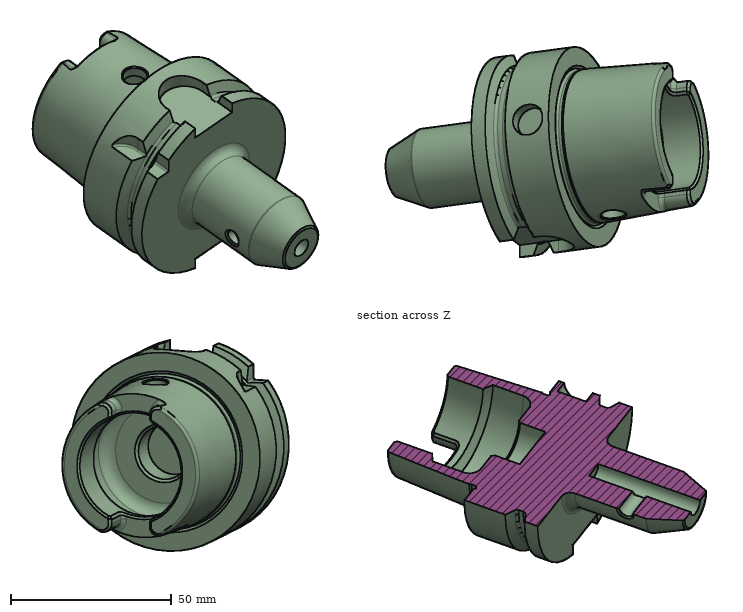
import cadquery as cq
import math

length = 97.0

taper_slope = 0.05
shank_end_diameter = 45.5
shank_end_radius = shank_end_diameter / 2
shank_edge_fillet = 1.0
taper_end = 30.0
neck_radius = 24.0
neck_start = 30.7
neck_bevel_start = 30.4
neck_bevel_radius = 24.1
neck_fillet = 0.8

flange_start = 32.0
flange_end = 58.0
flange_diameter = 63.0
flange_radius = flange_diameter / 2
face_recess_outer_radius = 25.6
face_recess_depth = 0.5

groove_start = 46.6
groove_end = 53.35
groove_floor_start = 49.2
groove_floor_end = 50.8
groove_floor_radius = 27.5
groove_fillet = 1.3
groove_fillet_sweep = 60.0

nose_radius = 12.5
nose_root_radius = 3.0
tip_cone_start = 86.1
tip_cone_fillet = 0.6
tip_radius = 7.9
tip_edge_length = 0.4
tip_edge_depth = 0.7

mouth_radius = 16.9
mouth_chamfer = 0.7
mouth_length = 13.0
cavity_radius = 20.0
cavity_shoulder_angle = 60.0
cavity_floor = 29.7
cavity_floor_fillet = 4.2
center_hole_radius = 8.4
center_hole_chamfer = 0.9
center_hole_depth = 9.7

slot_width = 12.5
slot_side_straight = 17.7
slot_side_radius = 2.9
slot_floor_fillet = 1.5
slot_mouth_bevel = 0.9
upper_slot_depth = 5.9
lower_slot_depth = 10.0

wall_hole_x = 23.0
wall_hole_diameter = 7.6
wall_hole_chamfer = 0.4

keyway_half_width = 8.05
keyway_start = 37.0
keyway_floor = 26.5

notch_corner = 19.7
notch_end_radius = 7.3
notch_fillet = 0.63

pocket_x = 39.0
pocket_diameter = 10.0
pocket_depth = 4.5

bore_diameter = 6.0
bore_depth = 35.9
screw_hole_x = 78.9
screw_hole_diameter = 4.85
screw_hole_chamfer = 0.6

tolerance = 0.01
pick_margin = 1.0


def groove_fillet_point(angle):
    """Run and rise from the groove floor after turning an angle along its side fillet."""
    turn = math.radians(angle)
    return groove_fillet * math.sin(turn), groove_fillet * (1 - math.cos(turn))


def holder_body():
    """Solid of revolution carrying every outside diameter."""
    taper_end_radius = shank_end_radius + taper_slope * taper_end
    recess_floor = flange_start + face_recess_depth
    half_run, half_rise = groove_fillet_point(groove_fillet_sweep / 2)
    full_run, full_rise = groove_fillet_point(groove_fillet_sweep)
    neck_mid = neck_fillet * (1 - math.sqrt(0.5))
    root_mid = nose_root_radius * (1 - math.sqrt(0.5))
    profile = (
        cq.Workplane("XY")
        .moveTo(0, 0)
        .lineTo(0, shank_end_radius)
        .lineTo(taper_end, taper_end_radius)
        .lineTo(neck_bevel_start, neck_bevel_radius)
        .lineTo(neck_start, neck_radius)
        .lineTo(recess_floor - neck_fillet, neck_radius)
        .threePointArc(
            (recess_floor - neck_mid, neck_radius + neck_mid),
            (recess_floor, neck_radius + neck_fillet),
        )
        .lineTo(flange_start, face_recess_outer_radius)
        .lineTo(flange_start, flange_radius)
        .lineTo(groove_start, flange_radius)
        .lineTo(groove_floor_start - full_run, groove_floor_radius + full_rise)
        .threePointArc(
            (groove_floor_start - half_run, groove_floor_radius + half_rise),
            (groove_floor_start, groove_floor_radius),
        )
        .lineTo(groove_floor_end, groove_floor_radius)
        .threePointArc(
            (groove_floor_end + half_run, groove_floor_radius + half_rise),
            (groove_floor_end + full_run, groove_floor_radius + full_rise),
        )
        .lineTo(groove_end, flange_radius)
        .lineTo(flange_end, flange_radius)
        .lineTo(flange_end, nose_radius + nose_root_radius)
        .threePointArc(
            (flange_end + root_mid, nose_radius + root_mid),
            (flange_end + nose_root_radius, nose_radius),
        )
        .lineTo(tip_cone_start, nose_radius)
        .lineTo(length - tip_edge_length, tip_radius)
        .lineTo(length, tip_radius - tip_edge_depth)
        .lineTo(length, 0)
        .close()
    )
    body = profile.revolve(360, (0, 0, 0), (1, 0, 0))
    body = body.faces("<X").edges().fillet(shank_edge_fillet)
    cone_edge = cq.selectors.BoxSelector(
        (tip_cone_start - pick_margin, -flange_radius, -flange_radius),
        (tip_cone_start + pick_margin, flange_radius, flange_radius),
        boundingbox=True,
    )
    return body.edges(cone_edge).fillet(tip_cone_fillet)


def clamping_cavity():
    """Undercut cavity behind the shank mouth, ending in a central blind hole."""
    shoulder_run = (cavity_radius - mouth_radius) / math.tan(math.radians(cavity_shoulder_angle))
    fillet_mid = cavity_floor_fillet * (1 - math.sqrt(0.5))
    hole_end = cavity_floor + center_hole_depth
    profile = (
        cq.Workplane("XY")
        .moveTo(0, 0)
        .lineTo(0, mouth_radius)
        .lineTo(mouth_length, mouth_radius)
        .lineTo(mouth_length + shoulder_run, cavity_radius)
        .lineTo(cavity_floor - cavity_floor_fillet, cavity_radius)
        .threePointArc(
            (cavity_floor - fillet_mid, cavity_radius - fillet_mid),
            (cavity_floor, cavity_radius - cavity_floor_fillet),
        )
        .lineTo(cavity_floor, center_hole_radius + center_hole_chamfer)
        .lineTo(cavity_floor + center_hole_chamfer, center_hole_radius)
        .lineTo(hole_end, center_hole_radius)
        .lineTo(hole_end, 0)
        .close()
    )
    return profile.revolve(360, (0, 0, 0), (1, 0, 0))


def slot_outline(margin):
    """Section of a drive slot in the YZ plane, grown outward by a margin."""
    half_width = slot_width / 2 + margin
    corner = slot_side_radius - margin
    arc_y = half_width + corner
    arc_mid = corner * math.sqrt(0.5)
    shoulder_z = slot_side_straight + corner
    outside = flange_radius
    return (
        cq.Workplane("YZ")
        .moveTo(-half_width, 0)
        .lineTo(half_width, 0)
        .lineTo(half_width, slot_side_straight)
        .threePointArc((arc_y - arc_mid, slot_side_straight + arc_mid), (arc_y, shoulder_z))
        .lineTo(outside, shoulder_z)
        .lineTo(outside, outside)
        .lineTo(-outside, outside)
        .lineTo(-outside, shoulder_z)
        .lineTo(-arc_y, shoulder_z)
        .threePointArc((-arc_y + arc_mid, slot_side_straight + arc_mid), (-half_width, slot_side_straight))
        .close()
    )


def drive_slot(depth):
    """Cutter for the +Z drive slot: rounded floor edges and a flared mouth."""
    slot = slot_outline(0).extrude(depth).faces(">X").edges().fillet(slot_floor_fillet)
    flare = slot_outline(slot_mouth_bevel).extrude(slot_mouth_bevel, taper=45)
    return slot.union(flare)


def bevel_mouth(body):
    """Bevel the mouth edge, following it around the drive slots."""
    def is_rim(edge):
        points = (edge.positionAt(0), edge.positionAt(0.5), edge.positionAt(1))
        on_mouth = all(abs(math.hypot(p.y, p.z) - mouth_radius) < tolerance for p in points)
        return on_mouth and edge.Center().x < mouth_length - tolerance

    rim = [edge for edge in body.edges().vals() if is_rim(edge)]
    return body.newObject(rim).chamfer(mouth_chamfer)


def drill_wall_hole(body):
    """Drill through both shank walls along Z and bevel the outer rims."""
    drill = (
        cq.Workplane("XY", origin=(wall_hole_x, 0, -flange_radius))
        .circle(wall_hole_diameter / 2)
        .extrude(flange_diameter)
    )
    reach = wall_hole_diameter
    rims = cq.selectors.BoxSelector(
        (wall_hole_x - reach, -reach, cavity_radius + pick_margin),
        (wall_hole_x + reach, reach, flange_radius),
    ) + cq.selectors.BoxSelector(
        (wall_hole_x - reach, -reach, -flange_radius),
        (wall_hole_x + reach, reach, -cavity_radius - pick_margin),
    )
    return body.cut(drill).edges(rims).chamfer(wall_hole_chamfer)


def keyway():
    """Cutter for the round-ended keyway on the +Z side of the flange."""
    arc_center = keyway_start + keyway_half_width
    outline = (
        cq.Workplane("XY", origin=(0, 0, keyway_floor))
        .moveTo(flange_end, keyway_half_width)
        .lineTo(arc_center, keyway_half_width)
        .threePointArc((keyway_start, 0), (arc_center, -keyway_half_width))
        .lineTo(flange_end, -keyway_half_width)
        .close()
    )
    return outline.extrude(flange_radius)


def orientation_notch():
    """Cutter for the corner notch between the -Y and +Z sides, with a filleted inner corner."""
    arc_mid = notch_end_radius * (1 - math.sqrt(0.5))
    arc_end_y = -notch_corner - notch_end_radius
    outline = (
        cq.Workplane("XY", origin=(0, 0, notch_corner))
        .moveTo(flange_end, -notch_corner)
        .lineTo(keyway_start + notch_end_radius, -notch_corner)
        .threePointArc(
            (keyway_start + arc_mid, -notch_corner - arc_mid),
            (keyway_start, arc_end_y),
        )
        .lineTo(keyway_start, -flange_radius)
        .lineTo(flange_end, -flange_radius)
        .close()
    )
    inner_corner = cq.selectors.BoxSelector(
        (keyway_start - pick_margin, arc_end_y - tolerance, notch_corner - pick_margin),
        (flange_end - tolerance, -notch_corner + pick_margin, notch_corner + pick_margin),
    )
    return outline.extrude(flange_radius).edges(inner_corner).fillet(notch_fillet)


def data_pocket():
    """Cutter for the blind round pocket in the +Y side of the flange."""
    return (
        cq.Workplane("XZ", origin=(pocket_x, flange_radius, 0))
        .circle(pocket_diameter / 2)
        .extrude(pocket_depth)
    )


def tool_bore():
    """Cutter for the blind bore entering from the tip."""
    return cq.Workplane("YZ", origin=(length, 0, 0)).circle(bore_diameter / 2).extrude(-bore_depth)


def drill_screw_hole(body):
    """Drill the clamping screw hole from the -Y side into the bore and bevel its rim."""
    drill = (
        cq.Workplane("XZ", origin=(screw_hole_x, 0, 0))
        .circle(screw_hole_diameter / 2)
        .extrude(flange_radius)
    )
    reach = screw_hole_diameter
    rim = cq.selectors.BoxSelector(
        (screw_hole_x - reach, -nose_radius - pick_margin, -reach),
        (screw_hole_x + reach, -bore_diameter, reach),
    )
    return body.cut(drill).edges(rim).chamfer(screw_hole_chamfer)


def turned_over(cutter):
    """The same cutter turned half a revolution, from the +Z to the -Z side."""
    return cutter.rotate((0, 0, 0), (1, 0, 0), 180)


result = holder_body().cut(clamping_cavity())

result = result.cut(drive_slot(upper_slot_depth))
result = result.cut(turned_over(drive_slot(lower_slot_depth)))
result = bevel_mouth(result)
result = drill_wall_hole(result)

result = result.cut(keyway()).cut(turned_over(keyway()))
result = result.cut(orientation_notch())
result = result.cut(data_pocket())

result = result.cut(tool_bore())
result = drill_screw_hole(result)